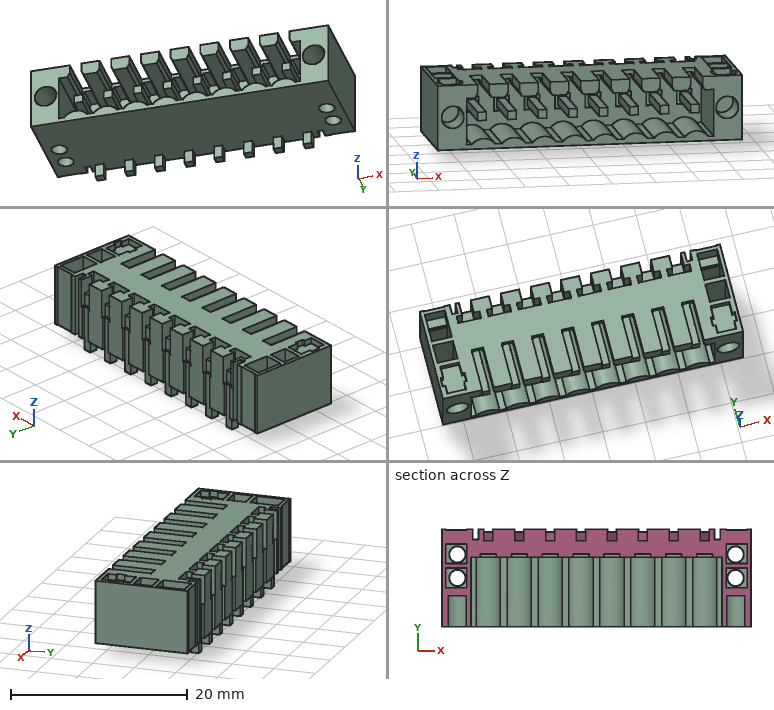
import cadquery as cq


WIDTH = 35.0
DEPTH = 11.05
HEIGHT = 7.45

PIN_COUNT = 8
PIN_PITCH = 3.5
PIN_SIZE = 0.98
PIN_AXIS_Z = 3.55
PIN_TIP_SETBACK = 1.15
PIN_REAR_SETBACK = 0.305
TAIL_LENGTH = 1.5
PIN_TOP_Z = PIN_AXIS_Z + PIN_SIZE / 2
PIN_BOTTOM_Z = PIN_AXIS_Z - PIN_SIZE / 2
PIN_REAR_Y = DEPTH - PIN_REAR_SETBACK
PIN_XS = [(i - (PIN_COUNT - 1) / 2) * PIN_PITCH for i in range(PIN_COUNT)]

CAVITY_WIDTH = 28.42
CAVITY_FLOOR_Z = 0.52
CAVITY_ROOF_Z = 5.9
CAVITY_DEPTH = 7.88
RIB_WIDTH = 2.73
RIB_HEIGHT = 0.65
KEYWAY_BASE_WIDTH = 1.9
KEYWAY_TOP_WIDTH = 0.8
KEYWAY_TOP_Z = 6.95
SLOT_WIDTH = 1.35
SLOT_LENGTH = 5.08
SOCKET_SIZE = 1.75
SOCKET_DEPTH = 0.35

T_BAR_WIDTH = 2.65
T_BAR_REAR_SETBACK = 1.58
T_BAR_FRONT_SETBACK = 2.4
T_FLOOR_Z = 5.55
T_SHELF_SETBACK = 0.52

MOUNT_AXIS = 1.75
SCREW_AXIS = 1.7
MOUNT_POCKET_OUTER = 0.45
MOUNT_POCKET_INNER = 2.8
MOUNT_FLOOR_Z = 1.5
MOUNT_HOLE_DIAMETER = 1.82
REAR_POCKET_SETBACKS = (0.52, 3.9)
REAR_HOLE_SETBACK = 2.87
MID_POCKET_SETBACKS = (4.4, 6.6)
MID_HOLE_SETBACK = 5.53
LEDGE_Z = 5.65
LEDGE_SETBACK = 1.58
LEDGE_STEP = 0.122
LEDGE_STEP_DROP = 0.35
NUT_RECESS_DEPTH = 0.7
NUT_RECESS_WIDTH = 2.17
NUT_RECESS_SETBACKS = (7.15, 10.55)
NUT_EAR_WIDTH = 2.8
NUT_EAR_SETBACKS = (8.5, 9.55)
SCREW_DIAMETER = 2.55
SCREW_AXIS_Z = 3.78
SCREW_DEPTH = 3.5
REAR_SLIT_OUTER = 3.5
REAR_SLIT_INNER = 4.13
REAR_SLIT_DEPTH = 1.15
REAR_RELIEF_DEPTH = 0.07


def box(x0, x1, y0, y1, z0, z1):
    """Box between opposite corner coordinates."""
    return cq.Workplane("XY").box(x1 - x0, y1 - y0, z1 - z0, centered=False).translate((x0, y0, z0))


def centred_box(x, width, y0, y1, z0, z1):
    """Box of a given width, centred on x."""
    return box(x - width / 2, x + width / 2, y0, y1, z0, z1)


def make_pin(x):
    """L-shaped contact: a bar along Y with a tail turned down at its rear end."""
    bar = centred_box(x, PIN_SIZE, PIN_TIP_SETBACK, PIN_REAR_Y, PIN_BOTTOM_Z, PIN_TOP_Z)
    tail = centred_box(x, PIN_SIZE, PIN_REAR_Y - PIN_SIZE, PIN_REAR_Y, -TAIL_LENGTH, PIN_TOP_Z)
    return bar.union(tail)


def keyway(x):
    """Tapered groove in the cavity roof."""
    half_base = KEYWAY_BASE_WIDTH / 2
    half_top = KEYWAY_TOP_WIDTH / 2
    outline = [
        (x - half_base, CAVITY_ROOF_Z),
        (x - half_top, KEYWAY_TOP_Z),
        (x + half_top, KEYWAY_TOP_Z),
        (x + half_base, CAVITY_ROOF_Z),
    ]
    return cq.Workplane("XZ").polyline(outline).close().extrude(-CAVITY_DEPTH)


def floor_rib(x):
    """Rounded rib on the cavity floor under one contact."""
    return (
        cq.Workplane("XZ")
        .moveTo(x - RIB_WIDTH / 2, CAVITY_FLOOR_Z)
        .threePointArc((x, CAVITY_FLOOR_Z + RIB_HEIGHT), (x + RIB_WIDTH / 2, CAVITY_FLOOR_Z))
        .close()
        .extrude(-CAVITY_DEPTH)
    )


def plug_cavity():
    """Space for the plug, with ribs left on its floor and keyways in its roof."""
    cavity = centred_box(0, CAVITY_WIDTH, 0, CAVITY_DEPTH, CAVITY_FLOOR_Z, CAVITY_ROOF_Z)
    for x in PIN_XS:
        cavity = cavity.cut(floor_rib(x)).union(keyway(x))
    return cavity


def contact_cuts(x):
    """Roof slot, socket, T-shaped pocket and rear channel that serve one contact."""
    roof_slot = centred_box(x, SLOT_WIDTH, 0, SLOT_LENGTH, CAVITY_ROOF_Z, HEIGHT)
    socket = centred_box(
        x, SOCKET_SIZE, CAVITY_DEPTH, CAVITY_DEPTH + SOCKET_DEPTH,
        PIN_AXIS_Z - SOCKET_SIZE / 2, PIN_AXIS_Z + SOCKET_SIZE / 2,
    )
    t_bar = centred_box(
        x, T_BAR_WIDTH, DEPTH - T_BAR_FRONT_SETBACK, DEPTH - T_BAR_REAR_SETBACK, T_FLOOR_Z, HEIGHT
    )
    t_stem = centred_box(x, SLOT_WIDTH, DEPTH - T_BAR_REAR_SETBACK, DEPTH, T_FLOOR_Z, HEIGHT)
    rear_notch = centred_box(x, SLOT_WIDTH, DEPTH - T_SHELF_SETBACK, DEPTH, PIN_TOP_Z, HEIGHT)
    tail_channel = centred_box(x, PIN_SIZE, PIN_REAR_Y - PIN_SIZE, DEPTH, 0, PIN_TOP_Z)
    return [roof_slot, socket, t_bar, t_stem, rear_notch, tail_channel, make_pin(x)]


def mount_pocket(setbacks, hole_setback):
    """Open-topped pocket in the left end block with a round hole through its floor."""
    rear, front = setbacks
    left = -WIDTH / 2
    pocket = box(
        left + MOUNT_POCKET_OUTER, left + MOUNT_POCKET_INNER,
        DEPTH - front, DEPTH - rear, MOUNT_FLOOR_Z, HEIGHT,
    )
    hole = (
        cq.Workplane("XY")
        .center(left + MOUNT_AXIS, DEPTH - hole_setback)
        .circle(MOUNT_HOLE_DIAMETER / 2)
        .extrude(MOUNT_FLOOR_Z)
    )
    return pocket.union(hole)


def rear_pocket_ledge():
    """Two-step ledge left standing against the rear wall of the rear pocket."""
    left = -WIDTH / 2
    x0 = left + MOUNT_POCKET_OUTER
    x1 = left + MOUNT_POCKET_INNER
    y_wall = DEPTH - REAR_POCKET_SETBACKS[0]
    y_ledge = DEPTH - LEDGE_SETBACK
    upper = box(x0, x1, y_ledge, y_wall, MOUNT_FLOOR_Z, LEDGE_Z)
    lower = box(x0, x1, y_ledge - LEDGE_STEP, y_wall, MOUNT_FLOOR_Z, LEDGE_Z - LEDGE_STEP_DROP)
    return upper.union(lower)


def nut_recess():
    """Shallow cross-shaped recess in the top of the left end block."""
    x = -WIDTH / 2 + MOUNT_AXIS
    floor_z = HEIGHT - NUT_RECESS_DEPTH
    body_rear, body_front = NUT_RECESS_SETBACKS
    ear_rear, ear_front = NUT_EAR_SETBACKS
    body = centred_box(x, NUT_RECESS_WIDTH, DEPTH - body_front, DEPTH - body_rear, floor_z, HEIGHT)
    ears = centred_box(x, NUT_EAR_WIDTH, DEPTH - ear_front, DEPTH - ear_rear, floor_z, HEIGHT)
    return body.union(ears)


def left_end_cuts():
    """Everything removed from the left end block."""
    left = -WIDTH / 2
    rear_pocket = mount_pocket(REAR_POCKET_SETBACKS, REAR_HOLE_SETBACK).cut(rear_pocket_ledge())
    mid_pocket = mount_pocket(MID_POCKET_SETBACKS, MID_HOLE_SETBACK)
    screw_hole = (
        cq.Workplane("XZ")
        .center(left + SCREW_AXIS, SCREW_AXIS_Z)
        .circle(SCREW_DIAMETER / 2)
        .extrude(-SCREW_DEPTH)
    )
    rear_slit = box(
        left + REAR_SLIT_OUTER, left + REAR_SLIT_INNER, DEPTH - REAR_SLIT_DEPTH, DEPTH, 0, HEIGHT
    )
    rear_relief = box(
        left + MOUNT_POCKET_OUTER, left + MOUNT_POCKET_INNER, DEPTH - REAR_RELIEF_DEPTH, DEPTH, 0, HEIGHT
    )
    return [rear_pocket, mid_pocket, nut_recess(), screw_hole, rear_slit, rear_relief]


def make_housing():
    """Insulating body; both end blocks are mirror images of each other."""
    housing = centred_box(0, WIDTH, 0, DEPTH, 0, HEIGHT).cut(plug_cavity())
    for x in PIN_XS:
        for cutter in contact_cuts(x):
            housing = housing.cut(cutter)
    for cutter in left_end_cuts():
        housing = housing.cut(cutter).cut(cutter.mirror("YZ"))
    return housing


housing = make_housing()
pins = [make_pin(x) for x in PIN_XS]

result = cq.Compound.makeCompound([*housing.solids().vals(), *[pin.solids().val() for pin in pins]])